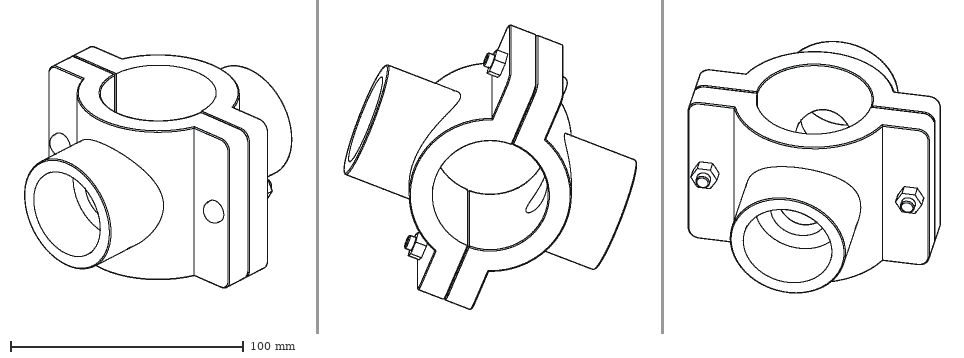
import cadquery as cq
import math

clamp_height = 73.0
ring_diameter = 70.0
ring_bore = 50.0
flange_width = 106.0
flange_thickness = 12.5
flange_corner_radius = 5.0
edge_chamfer = 0.5

overall_length = 116.0
stub_diameter = 50.7
socket_diameter = 39.0
socket_floor = 33.0
port_diameter = 25.0

bolt_spacing = 90.0
bolt_diameter = 6.0
bolt_projection = 8.0
head_diameter = 10.0
head_height = 4.0
head_fillet = 2.9
nut_across_flats = 10.0
nut_height = 5.0

half_length = overall_length / 2
bolt_positions = [-bolt_spacing / 2, bolt_spacing / 2]


def y_cylinder(diameter, start, end):
    """Cylinder on the Y axis from y = start to y = end."""
    return (
        cq.Workplane("XZ", origin=(0, start, 0))
        .circle(diameter / 2)
        .extrude(start - end)
    )


def z_cylinder(diameter):
    """Cylinder on the Z axis, as tall as the clamp."""
    return cq.Workplane("XY").circle(diameter / 2).extrude(clamp_height / 2, both=True)


def clamp_blank():
    """Half ring with its flange on the +Y side of the parting plane, not yet bored."""
    half_space = cq.Workplane("XY").box(
        flange_width, ring_diameter, clamp_height, centered=(True, False, True)
    )
    flange = (
        cq.Workplane("XZ")
        .rect(flange_width, clamp_height)
        .extrude(-flange_thickness)
        .edges("|Y")
        .fillet(flange_corner_radius)
    )
    return z_cylinder(ring_diameter).intersect(half_space).union(flange)


def add_stub(half):
    """Add the stub pipe, its socket and the port that opens into the bore."""
    stub = y_cylinder(stub_diameter, 0, half_length).faces(">Y").chamfer(edge_chamfer)
    stub = stub.cut(z_cylinder((ring_bore + ring_diameter) / 2))
    socket = y_cylinder(socket_diameter, socket_floor, half_length)
    port = y_cylinder(port_diameter, 0, half_length)
    return half.union(stub).cut(socket).cut(port)


def make_back_half():
    """Half on the +Y side, with sharp bore edges at its two ends."""
    half = clamp_blank().faces(">Z or <Z").edges("not <Y").chamfer(edge_chamfer)
    half = half.cut(z_cylinder(ring_bore)).faces("<Y").chamfer(edge_chamfer)
    return add_stub(half)


def make_front_half():
    """Half on the -Y side, with its bore edges chamfered as well."""
    half = clamp_blank().cut(z_cylinder(ring_bore))
    half = half.faces("<Y or >Z or <Z").chamfer(edge_chamfer)
    return add_stub(half).mirror("XZ")


def make_housing():
    """Both halves joined at the parting plane, where their chamfers form a V-groove."""
    housing = make_back_half().union(make_front_half())
    for x in bolt_positions:
        hole = y_cylinder(bolt_diameter, -flange_thickness, flange_thickness)
        housing = housing.cut(hole.translate((x, 0, 0)))
    return housing


def make_bolt(x):
    """Bolt with its nut, on an axis parallel to Y at the given x."""
    shank = y_cylinder(bolt_diameter, -flange_thickness, flange_thickness + bolt_projection)
    shank = shank.faces(">Y").chamfer(edge_chamfer)
    head = y_cylinder(head_diameter, -flange_thickness - head_height, -flange_thickness)
    head = head.faces("<Y").edges().fillet(head_fillet)
    nut_across_corners = nut_across_flats / math.cos(math.pi / 6)
    nut = (
        cq.Workplane("XZ", origin=(0, flange_thickness, 0))
        .polygon(6, nut_across_corners)
        .extrude(-nut_height)
    )
    return shank.union(head).union(nut).translate((x, 0, 0))


housing = make_housing()
bolts = [make_bolt(x) for x in bolt_positions]

result = cq.Compound.makeCompound([housing.val(), *[bolt.val() for bolt in bolts]])